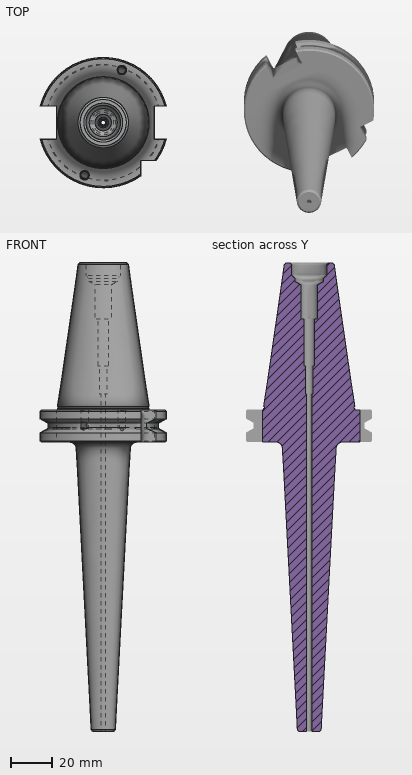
import cadquery as cq
import math

LENGTH = 228.5
SHANK_BASE_RADIUS = 22.4
SHANK_SLOPE = 7 / 48
SHANK_TIP_CHAMFER = 1.0

FLANGE_TOP = 156.7
FLANGE_HEIGHT = 15.8
FLANGE_RADIUS = 31.7
FLANGE_CHAMFER = 0.7
GROOVE_CENTER_DROP = 7.8
GROOVE_ROOT_RADIUS = 28.0
GROOVE_WIDTH = 6.9
GROOVE_WALL_ANGLE = 30.0
GROOVE_FILLET = 0.7

RELIEF_RADIUS = 22.0
RELIEF_HEIGHT = 1.0
COLLAR_HEIGHT = 0.7

NOSE_TOP_RADIUS = 13.2
NOSE_TIP_RADIUS = 6.0
NOSE_FILLET = 3.0
NOSE_TIP_CHAMFER = 1.0

BORE_CHAMFER = 1.03
PILOT_RADIUS = 8.5
PILOT_DEPTH = 6.2
THREAD_RADIUS = 6.9
THREAD_DEPTH = 9.1
DRILL_ANGLE = 30.0
CHANNEL_STEPS = [(4.0, 27.5), (2.5, 50.2), (1.8, 64.0), (1.1, LENGTH)]

SLOT_WIDTH = 16.0
LEFT_SLOT_X = -22.8
RIGHT_SLOT_X = 25.0
NOTCH_X = 18.3
NOTCH_Y = -18.5

FLANGE_HOLE_RADIUS = 1.8
FLANGE_HOLE_COUNTERSINK = 0.5
FLANGE_HOLE_CIRCLE = 27.2
FLANGE_HOLE_ANGLE = 70.5
FLANGE_HOLE_DEPTH = 9.1

FLANGE_BOTTOM = FLANGE_TOP - FLANGE_HEIGHT
COLLAR_TOP = FLANGE_TOP + COLLAR_HEIGHT
SHANK_BASE_Z = COLLAR_TOP + RELIEF_HEIGHT


def revolve_profile(sketch):
    """Turn a profile drawn in radius and height about the Z axis."""
    return sketch.close().revolve(360, (0, 0, 0), (0, 1, 0))


def arc_point(center, radius, angle):
    """Point on a circle, with the angle in degrees from the outward radial direction."""
    return (
        center[0] + radius * math.cos(math.radians(angle)),
        center[1] + radius * math.sin(math.radians(angle)),
    )


def turned_body():
    groove_z = FLANGE_TOP - GROOVE_CENTER_DROP
    groove_depth = FLANGE_RADIUS - GROOVE_ROOT_RADIUS
    half_mouth = GROOVE_WIDTH / 2
    wall_angle = math.radians(GROOVE_WALL_ANGLE)
    half_root = half_mouth - groove_depth * math.tan(wall_angle)
    groove_turn = 90 - GROOVE_WALL_ANGLE
    groove_fillet_center = (
        GROOVE_ROOT_RADIUS + GROOVE_FILLET,
        groove_z - half_root + GROOVE_FILLET * math.tan(math.radians(groove_turn / 2)),
    )
    rim = FLANGE_RADIUS - FLANGE_CHAMFER
    nose_fillet_z = FLANGE_BOTTOM - NOSE_FILLET
    nose_fillet_center = (NOSE_TOP_RADIUS + NOSE_FILLET, nose_fillet_z)
    shank_tip = SHANK_BASE_RADIUS - (LENGTH - SHANK_BASE_Z) * SHANK_SLOPE
    chamfer_start = shank_tip + SHANK_TIP_CHAMFER * SHANK_SLOPE
    return revolve_profile(
        cq.Workplane("YZ")
        .moveTo(0, 0)
        .lineTo(NOSE_TIP_RADIUS - NOSE_TIP_CHAMFER, 0)
        .lineTo(NOSE_TIP_RADIUS, NOSE_TIP_CHAMFER)
        .lineTo(NOSE_TOP_RADIUS, nose_fillet_z)
        .threePointArc(
            arc_point(nose_fillet_center, NOSE_FILLET, 135),
            (NOSE_TOP_RADIUS + NOSE_FILLET, FLANGE_BOTTOM),
        )
        .lineTo(rim, FLANGE_BOTTOM)
        .lineTo(FLANGE_RADIUS, FLANGE_BOTTOM + FLANGE_CHAMFER)
        .lineTo(FLANGE_RADIUS, groove_z - half_mouth)
        .lineTo(*arc_point(groove_fillet_center, GROOVE_FILLET, 180 + groove_turn))
        .threePointArc(
            arc_point(groove_fillet_center, GROOVE_FILLET, 180 + groove_turn / 2),
            arc_point(groove_fillet_center, GROOVE_FILLET, 180),
        )
        .lineTo(GROOVE_ROOT_RADIUS, groove_z + half_root)
        .lineTo(FLANGE_RADIUS, groove_z + half_mouth)
        .lineTo(FLANGE_RADIUS, FLANGE_TOP - FLANGE_CHAMFER)
        .lineTo(rim, FLANGE_TOP)
        .lineTo(SHANK_BASE_RADIUS, FLANGE_TOP)
        .lineTo(SHANK_BASE_RADIUS, COLLAR_TOP)
        .lineTo(RELIEF_RADIUS, COLLAR_TOP)
        .lineTo(RELIEF_RADIUS, SHANK_BASE_Z)
        .lineTo(SHANK_BASE_RADIUS, SHANK_BASE_Z)
        .lineTo(chamfer_start, LENGTH - SHANK_TIP_CHAMFER)
        .lineTo(shank_tip - SHANK_TIP_CHAMFER, LENGTH)
        .lineTo(0, LENGTH)
    )


def drill_tip_height(wide_radius, narrow_radius=0.0):
    """Height of the cone a drill leaves between two radii."""
    return (wide_radius - narrow_radius) * math.tan(math.radians(DRILL_ANGLE))


def bore():
    pilot_z = LENGTH - PILOT_DEPTH
    countersink_z = pilot_z - (PILOT_RADIUS - THREAD_RADIUS)
    thread_z = LENGTH - THREAD_DEPTH
    channel_radius = CHANNEL_STEPS[0][0]
    channel_z = thread_z - drill_tip_height(THREAD_RADIUS, channel_radius)
    profile = (
        cq.Workplane("YZ")
        .moveTo(0, LENGTH)
        .lineTo(PILOT_RADIUS + BORE_CHAMFER, LENGTH)
        .lineTo(PILOT_RADIUS, LENGTH - BORE_CHAMFER)
        .lineTo(PILOT_RADIUS, pilot_z)
        .lineTo(THREAD_RADIUS, countersink_z)
        .lineTo(THREAD_RADIUS, thread_z)
    )
    step_top = channel_z
    for radius, end_depth in CHANNEL_STEPS:
        step_bottom = LENGTH - end_depth
        profile = profile.lineTo(radius, step_top).lineTo(radius, step_bottom)
        step_top = step_bottom
    return revolve_profile(profile.lineTo(0, 0))


def flange_block(x_from, x_to, y_from, y_to):
    """Block over the full flange height, used to cut the slots and the notch."""
    return (
        cq.Workplane("XY", origin=(0, 0, FLANGE_BOTTOM))
        .moveTo(x_from, y_from)
        .lineTo(x_to, y_from)
        .lineTo(x_to, y_to)
        .lineTo(x_from, y_to)
        .close()
        .extrude(FLANGE_HEIGHT)
    )


def flange_hole():
    """Solid of one hole, on the Z axis."""
    bottom = FLANGE_TOP - FLANGE_HOLE_DEPTH
    return revolve_profile(
        cq.Workplane("YZ")
        .moveTo(0, FLANGE_TOP)
        .lineTo(FLANGE_HOLE_RADIUS + FLANGE_HOLE_COUNTERSINK, FLANGE_TOP)
        .lineTo(FLANGE_HOLE_RADIUS, FLANGE_TOP - FLANGE_HOLE_COUNTERSINK)
        .lineTo(FLANGE_HOLE_RADIUS, bottom)
        .lineTo(0, bottom - drill_tip_height(FLANGE_HOLE_RADIUS))
    )


half_slot = SLOT_WIDTH / 2
left_slot = flange_block(-FLANGE_RADIUS, LEFT_SLOT_X, -half_slot, half_slot)
right_slot = flange_block(RIGHT_SLOT_X, FLANGE_RADIUS, -half_slot, half_slot)
corner_notch = flange_block(NOTCH_X, FLANGE_RADIUS, -FLANGE_RADIUS, NOTCH_Y)

result = turned_body().cut(bore()).cut(left_slot).cut(right_slot).cut(corner_notch)

for turn_angle in (FLANGE_HOLE_ANGLE, FLANGE_HOLE_ANGLE + 180):
    hole = flange_hole().translate((FLANGE_HOLE_CIRCLE, 0, 0))
    result = result.cut(hole.rotate((0, 0, 0), (0, 0, 1), turn_angle))